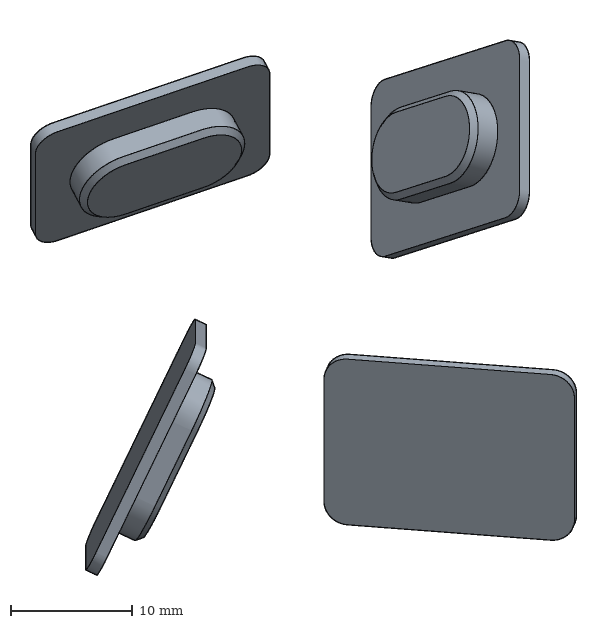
import cadquery as cq

plate_length = 21.0
plate_height = 15.0
plate_thickness = 1.0
corner_radius = 2.0

overall_depth = 3.5
boss_length = 14.8
boss_height = 7.8
boss_chamfer = 0.5
boss_depth = overall_depth - plate_thickness


def make_plate():
    """Plate with its outer face at X = 0 and rounded corners."""
    plate = cq.Workplane("YZ").rect(plate_length, plate_height).extrude(plate_thickness)
    return plate.edges("|X").fillet(corner_radius)


def make_boss():
    """Obround boss, long along Y, with a chamfered rim on its end face."""
    boss = (
        cq.Workplane("YZ", origin=(plate_thickness, 0, 0))
        .slot2D(boss_length, boss_height)
        .extrude(boss_depth)
    )
    return boss.faces(">X").edges().chamfer(boss_chamfer)


result = make_plate().union(make_boss())